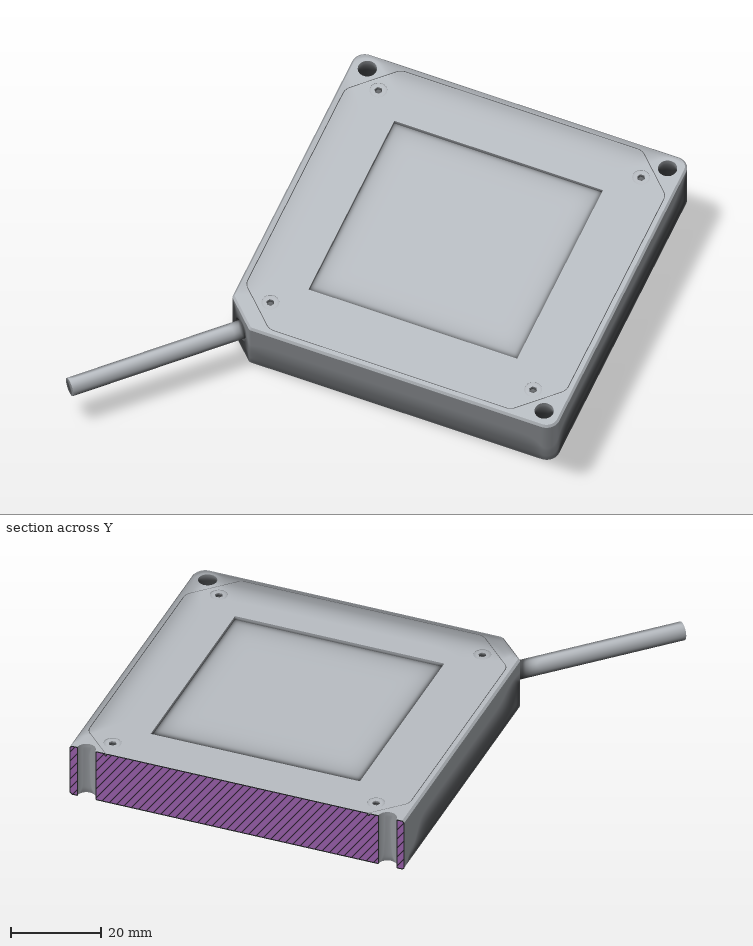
import cadquery as cq
import math

side = 80.0
height = 13.0
corner_radius = 3.0
corner_cut = 7.0
cut_edge_radius = 1.0
rim_chamfer = 0.48

lid_inset = 1.5
lid_corner_cut = 9.5
lid_corner_radius = 3.0
lid_gap = 0.16
lid_gap_depth = 0.5

window_side = 50.0
window_depth = 1.0

mount_pitch = 72.0
mount_diameter = 4.3

screw_pitch = 63.0
screw_head_diameter = 4.0
screw_head_drop = 0.1
socket_width = 1.6
socket_depth = 1.0

overall_length = 107.1
cable_diameter = 4.3
cable_hole_diameter = 5.6
cable_hole_depth = 1.0

half_side = side / 2
cut_middle = -half_side + corner_cut / 2
cable_end = half_side - overall_length + cable_diameter / 2 * math.sqrt(0.5)
cable_length = (cut_middle - cable_end) * math.sqrt(2)
cable_exit = cq.Plane(origin=(cut_middle, cut_middle, height / 2), xDir=(1, -1, 0), normal=(-1, -1, 0))


def square_corners(pitch):
    """Centres of the four corners of a square, the corner at the cable first."""
    half = pitch / 2
    return [(-half, -half), (half, -half), (half, half), (-half, half)]


def upright_edges_near(body, x, y, reach):
    """The vertical edges of a body within a square window around a point."""
    window = cq.selectors.BoxSelector((x - reach, y - reach, 0), (x + reach, y + reach, height))
    return body.edges("|Z").edges(window)


def make_housing():
    cable_corner, *round_corners = square_corners(side)
    block = (
        cq.Workplane("XY")
        .moveTo(-half_side + corner_cut, -half_side)
        .lineTo(half_side, -half_side)
        .lineTo(half_side, half_side)
        .lineTo(-half_side, half_side)
        .lineTo(-half_side, -half_side + corner_cut)
        .close()
        .extrude(height)
    )
    for corner in round_corners:
        block = upright_edges_near(block, *corner, corner_radius).fillet(corner_radius)
    block = upright_edges_near(block, *cable_corner, 2 * corner_cut).fillet(cut_edge_radius)
    return block.faces("<Z or >Z").chamfer(rim_chamfer)


def lid_slab(inset):
    """Top slab as deep as the lid gap, with its outline moved inward evenly by the inset."""
    cut_share = 2 - math.sqrt(2)
    slab_side = side - 2 * (lid_inset + inset)
    return (
        cq.Workplane("XY", origin=(0, 0, height))
        .rect(slab_side, slab_side)
        .extrude(-lid_gap_depth)
        .edges("|Z")
        .chamfer(lid_corner_cut - cut_share * inset)
        .edges("|Z")
        .fillet(lid_corner_radius - inset)
    )


def make_lid_gap():
    return lid_slab(0).cut(lid_slab(lid_gap))


def make_window():
    return cq.Workplane("XY", origin=(0, 0, height)).rect(window_side, window_side).extrude(-window_depth)


def make_mount_holes():
    round_corners = square_corners(mount_pitch)[1:]
    return cq.Workplane("XY").pushPoints(round_corners).circle(mount_diameter / 2).extrude(height)


def make_screw_recesses():
    socket_corner_diameter = socket_width / math.cos(math.pi / 6)
    centres = cq.Workplane("XY", origin=(0, 0, height)).pushPoints(square_corners(screw_pitch))
    heads = centres.circle(screw_head_diameter / 2).extrude(-screw_head_drop)
    sockets = (
        cq.Workplane("XY", origin=(0, 0, height))
        .pushPoints(square_corners(screw_pitch))
        .polygon(6, socket_corner_diameter)
        .extrude(-socket_depth)
    )
    return heads.union(sockets)


def make_cable_hole():
    return cq.Workplane(cable_exit).circle(cable_hole_diameter / 2).extrude(-cable_hole_depth)


def make_cable():
    """Cable rising from the bottom of its hole."""
    return (
        cq.Workplane(cable_exit)
        .workplane(offset=-cable_hole_depth)
        .circle(cable_diameter / 2)
        .extrude(cable_hole_depth + cable_length)
    )


result = (
    make_housing()
    .cut(make_lid_gap())
    .cut(make_window())
    .cut(make_mount_holes())
    .cut(make_screw_recesses())
    .cut(make_cable_hole())
    .union(make_cable())
)